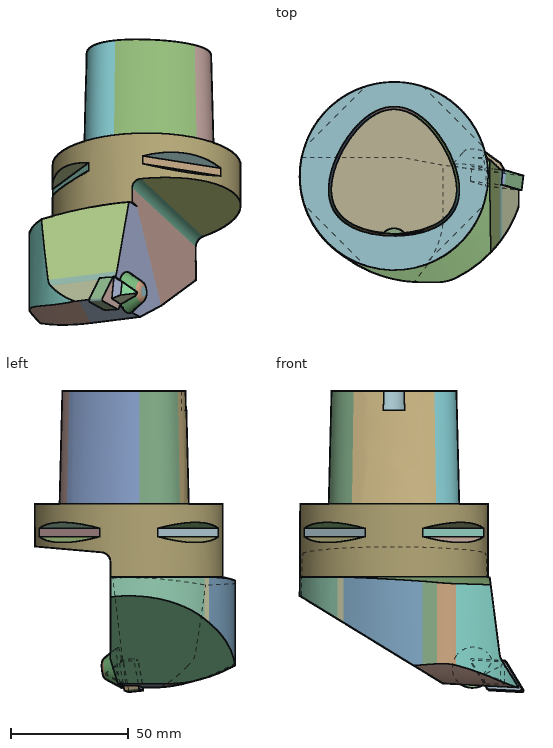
import cadquery as cq
import math


shank_length = 48.0
shank_mean_radius = 27.5
shank_lobe_height = 2.0
shank_taper_per_length = 1 / 40
shank_radius_drop = shank_length * shank_taper_per_length
lobe_count = 3
lobe_pitch = 360 / lobe_count
lobe_half_angle = 24.5
edge_samples = 8
key_notch_depth = 8.2
key_notch_radius = 5.9
key_notch_innermost_y = -22.2

flange_radius = 40.0
flange_length = 31.0
groove_center_z = -12.1
groove_floor_distance = 35.6
groove_floor_width = 3.5
groove_flank_angle = 30.0
groove_angles = (45, 135, 225, 315)

head_radius = 40.15
head_front_y = -45.19
head_flank_start_x = -24.0
head_flank_line_length = 3.2
head_flat_start_x = 12.1
head_flat_end_x = 18.3
head_corner_radius = 18.2
head_corner_turn = 26.4
head_side_radius = 53.2
head_side_turn = 58.0
head_cone_angle = 15.0

head_toe = (53.0, -78.0)
head_lower_left = (20.8, -76.3)
slant_top = (-head_radius, -39.0)
neck_x = 40.7
neck_angle = 7.3
neck_fillet_radius = 8.0
head_profile_overshoot = 5.0
head_bottom_round_start = -11.0
head_bottom_round_axis_turn = 11.0
head_bottom_round_radius = 47.0
head_bottom_round_reach = 40.0

relief_wall_y = 7.9
relief_edge_z = -18.1
relief_roof_angle = 5.0
relief_fillet_radius = 4.0

insert_circle_diameter = 12.7
insert_thickness = 6.35
insert_angle = 55.0
insert_nose_radius = 0.8
insert_lead_angle = 3.0
insert_tip = (55.69, 0.0, -80.08)
rake_angle_x = 7.0
rake_angle_z = 6.0
rake_slope_x = math.tan(math.radians(rake_angle_x))
rake_slope_z = math.tan(math.radians(rake_angle_z))

clamp_center = (22.6, 10.7)
clamp_base_radius = 8.8
clamp_height = 7.5
clamp_taper = 34.0
clamp_top_fillet = 3.0
clamp_nose_end = 9.0
clamp_nose_width = 10.0
clamp_nose_drop = 2.0
clamp_slope_start_height = 3.0
clamp_slope_angle = 31.0

margin = 60.0
clearance = 1.0


def lobed_point(radius, angle):
    """Point of a three-lobed curve with one lobe on +Y; angle in degrees from that lobe."""
    t = math.radians(angle)
    along_lobe = radius * math.cos(t) + shank_lobe_height * math.cos(2 * t)
    across = radius * math.sin(t) - shank_lobe_height * math.sin(2 * t)
    return across, along_lobe


def lobed_wire(radius, z):
    """Closed three-lobed wire: three lobe edges and three flank edges in turn."""
    edges = []
    for lobe in range(lobe_count):
        start = lobe * lobe_pitch - lobe_half_angle
        middle = lobe * lobe_pitch + lobe_half_angle
        for a, b in ((start, middle), (middle, start + lobe_pitch)):
            points = []
            for i in range(edge_samples + 1):
                x, y = lobed_point(radius, a + (b - a) * i / edge_samples)
                points.append(cq.Vector(x, y, z))
            edges.append(cq.Edge.makeSpline(points))
    return cq.Wire.assembleEdges(edges)


def make_shank():
    base = lobed_wire(shank_mean_radius, 0)
    top = lobed_wire(shank_mean_radius - shank_radius_drop, shank_length)
    shank = cq.Workplane(cq.Solid.makeLoft([base, top], True))
    notch = (
        cq.Workplane("XY", origin=(0, key_notch_innermost_y - key_notch_radius, shank_length))
        .circle(key_notch_radius)
        .extrude(-key_notch_depth)
    )
    return shank.cut(notch)


def make_flange():
    flange = cq.Workplane("XY").circle(flange_radius).extrude(-flange_length)
    outer = flange_radius + clearance
    half_floor = groove_floor_width / 2
    half_mouth = half_floor + (outer - groove_floor_distance) * math.tan(math.radians(groove_flank_angle))
    groove = (
        cq.Workplane("XZ")
        .polyline([
            (groove_floor_distance, groove_center_z - half_floor),
            (outer, groove_center_z - half_mouth),
            (outer, groove_center_z + half_mouth),
            (groove_floor_distance, groove_center_z + half_floor),
        ])
        .close()
        .extrude(flange_radius, both=True)
    )
    for angle in groove_angles:
        flange = flange.cut(groove.rotate((0, 0, 0), (0, 0, 1), angle))
    return flange


def left_arc_points(start, heading, radius, turn):
    """Middle and end point of a left-turning arc; angles in degrees."""
    points = []
    for part in (turn / 2, turn):
        a = math.radians(heading)
        b = math.radians(heading + part)
        x = start[0] + radius * (math.sin(b) - math.sin(a))
        y = start[1] - radius * (math.cos(b) - math.cos(a))
        points.append((x, y))
    return points


def head_outline_prism():
    flank_y = -math.sqrt(head_radius**2 - head_flank_start_x**2)
    flank_heading = math.atan2(head_flank_start_x, -flank_y)
    line_end = (
        head_flank_start_x + head_flank_line_length * math.cos(flank_heading),
        flank_y + head_flank_line_length * math.sin(flank_heading),
    )
    corner_mid, corner_end = left_arc_points((head_flat_end_x, head_front_y), 0,
                                             head_corner_radius, head_corner_turn)
    side_mid, side_end = left_arc_points(corner_end, head_corner_turn, head_side_radius, head_side_turn)
    start = (-math.sqrt(head_radius**2 - relief_wall_y**2), relief_wall_y)
    return (
        cq.Workplane("XY", origin=(0, 0, -flange_length))
        .moveTo(*start)
        .threePointArc((-head_radius, 0), (head_flank_start_x, flank_y))
        .lineTo(*line_end)
        .tangentArcPoint((head_flat_start_x, head_front_y), relative=False)
        .lineTo(head_flat_end_x, head_front_y)
        .threePointArc(corner_mid, corner_end)
        .threePointArc(side_mid, side_end)
        .lineTo(side_end[0], relief_wall_y)
        .close()
        .extrude(-margin)
    )


def head_side_prism():
    """XZ profile: slanted back, open bottom, and the neck that flares toward the insert."""
    edge_angle = math.radians(insert_lead_angle + insert_angle)
    neck = math.tan(math.radians(neck_angle))
    flare = 1 / math.tan(edge_angle)
    bend_z = (neck_x - flange_length * neck - head_toe[0] - head_toe[1] * flare) / (neck - flare)
    bend_x = neck_x - (bend_z + flange_length) * neck
    low_z = head_toe[1] - head_profile_overshoot
    back_slope = (head_lower_left[1] - slant_top[1]) / (head_lower_left[0] - slant_top[0])
    low_left_x = slant_top[0] + (low_z - slant_top[1]) / back_slope
    profile = (
        cq.Workplane("XZ")
        .polyline([
            (slant_top[0] - clearance, -flange_length),
            (slant_top[0] - clearance, slant_top[1] - clearance * back_slope),
            (low_left_x, low_z),
            (head_toe[0] - (low_z - head_toe[1]) * flare, low_z),
            (bend_x, bend_z),
            (neck_x, -flange_length),
        ])
        .close()
        .extrude(margin, both=True)
    )
    bend = cq.selectors.NearestToPointSelector((bend_x, 0, bend_z))
    return profile.edges("|Y").edges(bend).fillet(neck_fillet_radius)


def head_bottom_prism():
    """Everything above the bottom face, which falls toward the toe and rolls up toward -Y."""
    fall = math.atan2(head_lower_left[1] - head_toe[1], head_toe[0] - head_lower_left[0])
    turn = math.radians(head_bottom_round_axis_turn)
    downhill = cq.Vector(math.cos(fall), 0, -math.sin(fall))
    sideways = cq.Vector(0, 1, 0)
    plane = cq.Plane(
        origin=(head_toe[0], 0, head_toe[1]),
        xDir=sideways * math.cos(turn) - downhill * math.sin(turn),
        normal=downhill * math.cos(turn) + sideways * math.sin(turn),
    )
    start = (head_bottom_round_start, 0)
    ends = []
    for part in (head_bottom_round_reach / 2, head_bottom_round_reach):
        rise = head_bottom_round_radius - math.sqrt(head_bottom_round_radius**2 - part**2)
        ends.append((head_bottom_round_start - part, rise))
    return (
        cq.Workplane(plane)
        .moveTo(margin, 0)
        .lineTo(*start)
        .threePointArc(*ends)
        .lineTo(ends[1][0], margin)
        .lineTo(margin, margin)
        .close()
        .extrude(2 * margin, both=True)
    )


def head_shoulder_cone():
    """Solid of revolution below the conical shoulder that falls away outside the flange."""
    outer = flange_radius + margin
    return (
        cq.Workplane("XZ")
        .polyline([
            (0, -flange_length),
            (flange_radius, -flange_length),
            (outer, -flange_length - margin * math.tan(math.radians(head_cone_angle))),
            (outer, -2 * margin),
            (0, -2 * margin),
        ])
        .close()
        .revolve(360, (0, 0, 0), (0, 1, 0))
    )


def make_head():
    head = head_outline_prism()
    for limit in (head_side_prism(), head_bottom_prism(), head_shoulder_cone()):
        head = head.intersect(limit)
    return head


def make_relief():
    """Space cleared on the +Y side below a slightly falling roof."""
    fall = math.tan(math.radians(relief_roof_angle))
    rim_y = flange_radius + clearance
    relief = (
        cq.Workplane("YZ")
        .polyline([
            (relief_wall_y, -2 * margin),
            (relief_wall_y, relief_edge_z - (flange_radius - relief_wall_y) * fall),
            (rim_y, relief_edge_z + clearance * fall),
            (rim_y, -2 * margin),
        ])
        .close()
        .extrude(margin, both=True)
    )
    corner = cq.selectors.NearestToPointSelector((0, relief_wall_y, relief_edge_z))
    return relief.edges("|X").edges(corner).fillet(relief_fillet_radius)


rake_normal = cq.Vector(rake_slope_x, 1, -rake_slope_z)
rake_plane = cq.Plane(origin=insert_tip, xDir=(-1, rake_slope_x, 0), normal=rake_normal)


def make_insert():
    edge = insert_circle_diameter / math.sin(math.radians(insert_angle))
    low = math.radians(insert_lead_angle)
    high = math.radians(insert_lead_angle + insert_angle)
    low_corner = (edge * math.cos(low), edge * math.sin(low))
    high_corner = (edge * math.cos(high), edge * math.sin(high))
    far_corner = (low_corner[0] + high_corner[0], low_corner[1] + high_corner[1])
    blank = (
        cq.Workplane(rake_plane)
        .polyline([(0, 0), low_corner, far_corner, high_corner])
        .close()
        .extrude(-insert_thickness)
    )
    corners = cq.selectors.ParallelDirSelector(rake_normal)
    return blank.edges(corners).fillet(insert_nose_radius)


def make_chip_face():
    """Slab in front of the rake plane."""
    return cq.Workplane(rake_plane).rect(4 * margin, 4 * margin).extrude(margin)


def make_clamp():
    """Tapered disc with a tapered nose whose top slopes down toward the insert tip."""
    disc_x, disc_y = clamp_center
    nose_length = disc_x - clamp_nose_end
    disc = (
        cq.Workplane(rake_plane)
        .center(disc_x, disc_y)
        .circle(clamp_base_radius)
        .extrude(clamp_height, taper=clamp_taper)
        .faces(cq.selectors.DirectionMinMaxSelector(rake_normal))
        .edges()
        .fillet(clamp_top_fillet)
    )
    nose = (
        cq.Workplane(rake_plane)
        .center(disc_x - nose_length / 2, disc_y - clamp_nose_drop)
        .rect(nose_length, clamp_nose_width)
        .extrude(clamp_height, taper=clamp_taper)
    )
    slope = math.tan(math.radians(clamp_slope_angle))
    slope_start_x = clamp_nose_end + clamp_slope_start_height * math.tan(math.radians(clamp_taper))
    side_plane = cq.Plane(origin=insert_tip, xDir=rake_plane.xDir, normal=-rake_plane.yDir)
    above_slope = (
        cq.Workplane(side_plane)
        .polyline([
            (slope_start_x, clamp_slope_start_height),
            (slope_start_x + margin, clamp_slope_start_height + margin * slope),
            (0, margin),
            (0, clamp_slope_start_height - slope_start_x * slope),
        ])
        .close()
        .extrude(margin, both=True)
    )
    return disc.union(nose).cut(above_slope)


insert = make_insert()

lower_body = make_flange().union(make_head()).cut(make_relief())
chip_space = make_chip_face().intersect(
    cq.Workplane("XY", origin=(0, 0, -flange_length)).rect(4 * margin, 4 * margin).extrude(-2 * margin)
)
holder = lower_body.cut(chip_space).union(make_clamp()).cut(insert).union(make_shank())

result = cq.Compound.makeCompound([holder.val(), insert.val()])